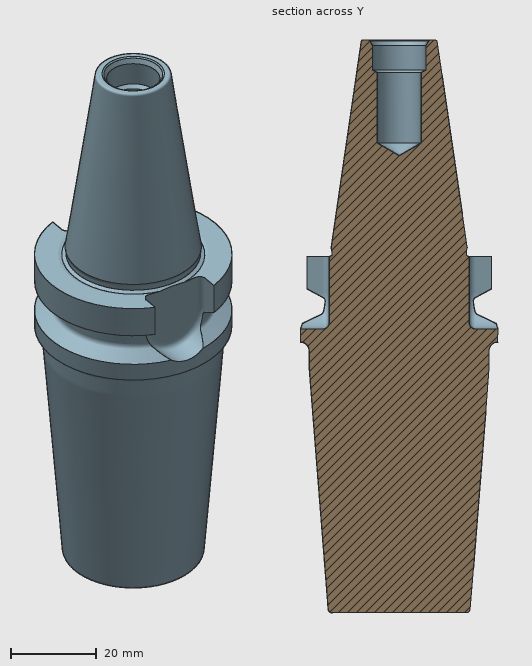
import cadquery as cq
import math


GAUGE_RADIUS = 31.75 / 2
TAPER_LENGTH = 48.4
TAPER_SLOPE = 7 / 48
TAPER_TOP_RADIUS = GAUGE_RADIUS - TAPER_SLOPE * TAPER_LENGTH
TAPER_TOP_FILLET = 0.6

NECK_RADIUS = 15.7
NECK_TOP = -0.8
NECK_BOTTOM = -1.75
RECESS_RADIUS = 16.65
RECESS_RIM_RADIUS = 17.45
RECESS_DEPTH = 0.2

FLANGE_RADIUS = 23.0
FLANGE_TOP = -2.0
FLANGE_BOTTOM = -22.0
GROOVE_MIDDLE = -13.6
GROOVE_HALF_WIDTH = 4.0
GROOVE_RADIUS = 19.0
GROOVE_WALL_SLOPE = math.tan(math.radians(30))
GROOVE_FLOOR_HALF_WIDTH = GROOVE_HALF_WIDTH - (FLANGE_RADIUS - GROOVE_RADIUS) * GROOVE_WALL_SLOPE
GROOVE_FILLET = 1.0

COLLAR_RADIUS = 21.0
COLLAR_FILLET = 2.0
COLLAR_BLEND = 10.0
NOSE_RADIUS = 16.5
NOSE_Z = -85.0
NOSE_FILLET = 1.0
BODY_ANGLE = math.radians(4.5)
COLLAR_BOTTOM = NOSE_Z + (COLLAR_RADIUS - NOSE_RADIUS) / math.tan(BODY_ANGLE)

SLOT_WIDTH = 16.4
SLOT_FLOOR_X = 16.3
SLOT_BOTTOM = -18.9
SLOT_FLOOR_FILLET = 1.5

RIM_RADIUS = 7.25
MOUTH_RADIUS = 6.85
BORE_RADIUS = 6.2
BORE_DEPTH = 7.0
PILOT_RADIUS = 5.1
PILOT_DEPTH = 24.0
WIDE_HALF_ANGLE = math.radians(60)
NARROW_HALF_ANGLE = math.radians(30)
MOUTH_DEPTH = (RIM_RADIUS - MOUTH_RADIUS) / math.tan(WIDE_HALF_ANGLE)
BORE_TOP_DEPTH = MOUTH_DEPTH + (MOUTH_RADIUS - BORE_RADIUS) / math.tan(NARROW_HALF_ANGLE)
LEDGE_DEPTH = BORE_DEPTH + (BORE_RADIUS - PILOT_RADIUS) / math.tan(WIDE_HALF_ANGLE)
TIP_DEPTH = PILOT_DEPTH + PILOT_RADIUS / math.tan(WIDE_HALF_ANGLE)


def at_height(z):
    """Select the circular edges that lie in the horizontal plane at z."""
    margin = 0.01
    return cq.selectors.BoxSelector((-50, -50, z - margin), (50, 50, z + margin), boundingbox=True)


def make_body():
    groove_floor_top = GROOVE_MIDDLE + GROOVE_FLOOR_HALF_WIDTH
    groove_floor_bottom = GROOVE_MIDDLE - GROOVE_FLOOR_HALF_WIDTH
    blend_length = COLLAR_BLEND * math.tan(BODY_ANGLE / 2)
    blend_bottom = COLLAR_BOTTOM - blend_length * math.cos(BODY_ANGLE)
    profile = (
        cq.Workplane("XZ")
        .moveTo(0, NOSE_Z)
        .lineTo(NOSE_RADIUS, NOSE_Z)
        .lineTo(COLLAR_RADIUS - blend_length * math.sin(BODY_ANGLE), blend_bottom)
        .radiusArc((COLLAR_RADIUS, COLLAR_BOTTOM + blend_length), -COLLAR_BLEND)
        .lineTo(COLLAR_RADIUS, FLANGE_BOTTOM - COLLAR_FILLET)
        .radiusArc((COLLAR_RADIUS + COLLAR_FILLET, FLANGE_BOTTOM), COLLAR_FILLET)
        .lineTo(FLANGE_RADIUS, GROOVE_MIDDLE - GROOVE_HALF_WIDTH)
        .lineTo(GROOVE_RADIUS, groove_floor_bottom)
        .lineTo(GROOVE_RADIUS, groove_floor_top)
        .lineTo(FLANGE_RADIUS, GROOVE_MIDDLE + GROOVE_HALF_WIDTH)
        .lineTo(FLANGE_RADIUS, FLANGE_TOP)
        .lineTo(RECESS_RIM_RADIUS, FLANGE_TOP)
        .lineTo(RECESS_RADIUS, FLANGE_TOP - RECESS_DEPTH)
        .lineTo(NECK_RADIUS, NECK_BOTTOM)
        .lineTo(NECK_RADIUS, NECK_TOP)
        .lineTo(GAUGE_RADIUS, 0)
        .lineTo(TAPER_TOP_RADIUS, TAPER_LENGTH)
        .lineTo(0, TAPER_LENGTH)
        .close()
    )
    body = profile.revolve(360, (0, 0, 0), (0, 1, 0))
    body = body.edges(at_height(TAPER_LENGTH)).fillet(TAPER_TOP_FILLET)
    body = body.edges(at_height(groove_floor_top)).fillet(GROOVE_FILLET)
    body = body.edges(at_height(groove_floor_bottom)).fillet(GROOVE_FILLET)
    return body.edges(at_height(NOSE_Z)).fillet(NOSE_FILLET)


def make_slot_cutter():
    """Round-ended slot cutter for the +X side, with a filleted floor."""
    slot_end_radius = SLOT_WIDTH / 2
    arc_center_z = SLOT_BOTTOM + slot_end_radius
    cutter = (
        cq.Workplane("YZ", origin=(SLOT_FLOOR_X, 0, 0))
        .moveTo(-slot_end_radius, FLANGE_TOP)
        .lineTo(-slot_end_radius, arc_center_z)
        .threePointArc((0, SLOT_BOTTOM), (slot_end_radius, arc_center_z))
        .lineTo(slot_end_radius, FLANGE_TOP)
        .close()
        .extrude(FLANGE_RADIUS)
    )
    return cutter.faces("<X").edges("not >Z").fillet(SLOT_FLOOR_FILLET)


def make_bore_cutter():
    return (
        cq.Workplane("XZ", origin=(0, 0, TAPER_LENGTH))
        .moveTo(0, 0)
        .lineTo(RIM_RADIUS, 0)
        .lineTo(MOUTH_RADIUS, -MOUTH_DEPTH)
        .lineTo(BORE_RADIUS, -BORE_TOP_DEPTH)
        .lineTo(BORE_RADIUS, -BORE_DEPTH)
        .lineTo(PILOT_RADIUS, -LEDGE_DEPTH)
        .lineTo(PILOT_RADIUS, -PILOT_DEPTH)
        .lineTo(0, -TIP_DEPTH)
        .close()
        .revolve(360, (0, 0, 0), (0, 1, 0))
    )


result = make_body().cut(make_bore_cutter())
for side_angle in (0, 180):
    result = result.cut(make_slot_cutter().rotate((0, 0, 0), (0, 0, 1), side_angle))